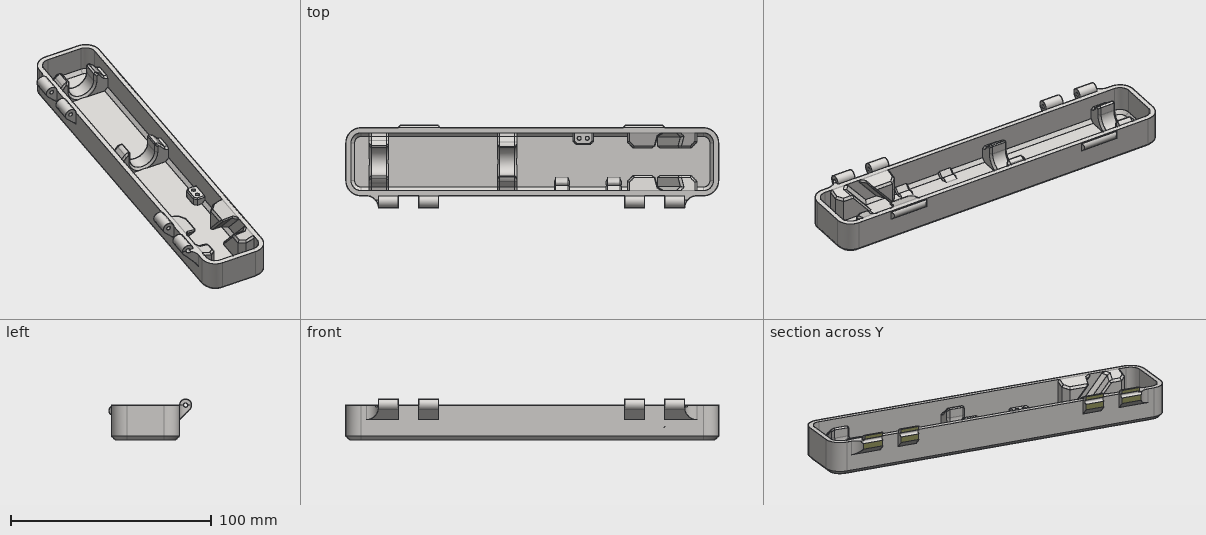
import cadquery as cq
import math

LENGTH = 185.8
WIDTH = 34.0
RIM_Z = 17.4
WALL = 2.6
FLOOR_Z = 2.4
CORNER_RADIUS = 7.7
BASE_CHAMFER = 2.0
FLOOR_CHAMFER = 1.8

SIDE_Y = WIDTH / 2
INNER_LENGTH = LENGTH - 2 * WALL
INNER_WIDTH = WIDTH - 2 * WALL
INNER_Y = INNER_WIDTH / 2
WALL_OVERLAP = WALL / 2
ROOT_Y = INNER_Y + WALL_OVERLAP
ROOT_Z = FLOOR_Z / 2

FITTINGS_SHIFT_X = -0.35

KNUCKLE_RADIUS = 3.0
KNUCKLE_LENGTH = 10.0
KNUCKLE_Y = -SIDE_Y - KNUCKLE_RADIUS
PIN_HOLE_DIAMETER = 2.0
HINGE_INNER_X = 46.3
KNUCKLE_PITCH = 2 * KNUCKLE_LENGTH
HINGE_OUTER_X = HINGE_INNER_X + KNUCKLE_PITCH + KNUCKLE_LENGTH
GUSSET_RADIUS = 2 * KNUCKLE_RADIUS

LATCH_X = 56.0
LATCH_Z = 14.6
LATCH_LENGTH = 21.0
LATCH_HEIGHT = 4.2
LATCH_PROTRUSION = 1.23

CRADLES = (
    (-76.4, 8.1, 10.6),
    (-12.5, 7.5, 9.8),
)
CRADLE_LENGTH = 9.8
CRADLE_RADIUS = 7.0
CRADLE_AXIS_Z = 10.3
CRADLE_TIP_INNER_Z = 14.7
CRADLE_TIP_OUTER_Z = 15.3
CRADLE_BACK_BULGE = 0.15
CRADLE_BACK_SLOPE = 1.1
CRADLE_BACK_END_Y = 12.5
CRADLE_BACK_END_Z = 11.4
CRADLE_ROOT_Z = 10.6
CRADLE_CHAMFER = 1.2

PAD_CENTERS_X = (14.8, 40.6)
PAD_LENGTH = 7.6
PAD_TOE_Y = -7.8
PAD_FLANK_Y = -9.0
PAD_FLANK_HEIGHT = 0.25
PAD_CREST_Y = -10.3
PAD_CREST_HEIGHT = 0.9
PAD_VALLEY_Y = -11.9
PAD_VALLEY_HEIGHT = 0.3
PAD_CHAMFER = 0.7

SOCKET_BLOCK_X = 25.4
SOCKET_BLOCK_LENGTH = 10.0
SOCKET_BLOCK_FACE_Y = 8.6
SOCKET_BLOCK_TOP_Z = 6.6
SOCKET_BLOCK_CORNER = 1.5
SOCKET_BLOCK_TOP_CHAMFER = 0.6
SOCKET_DIAMETER = 2.0
SOCKET_DEPTH = 3.0
SOCKET_SPACING = 4.0
SOCKET_Y = 11.7

SUPPORT_X = 64.7
SUPPORT_LENGTH = 34.7
SUPPORT_FACE_Y = 6.8
SUPPORT_FACE_Z = 15.0
SUPPORT_CORNER = 3.0
SUPPORT_CHAMFER = 1.0
SLOT_ANGLE = 50.0
SLOT_FLOOR_X = 56.7
SLOT_WIDTH = 8.8
SLOT_CORNER = 2.0


def mirrored_y(shape):
    return shape.union(shape.mirror("XZ"))


def mirrored_x(shape):
    return shape.union(shape.mirror("YZ"))


def make_tray():
    shell = cq.Workplane("XY").box(LENGTH, WIDTH, RIM_Z, centered=(True, True, False))
    shell = shell.edges("|Z").fillet(CORNER_RADIUS).faces("<Z").edges().chamfer(BASE_CHAMFER)
    cavity = (
        cq.Workplane("XY", origin=(0, 0, FLOOR_Z))
        .box(INNER_LENGTH, INNER_WIDTH, RIM_Z, centered=(True, True, False))
        .edges("|Z").fillet(CORNER_RADIUS - WALL)
        .faces("<Z").edges().chamfer(FLOOR_CHAMFER)
    )
    return shell.cut(cavity)


def make_knuckle(start_x, length=KNUCKLE_LENGTH):
    """Barrel carried by a bracket whose underside slopes at 45 degrees, tangent to the barrel."""
    tangent = KNUCKLE_RADIUS * math.sqrt(0.5)
    slope_y = KNUCKLE_Y - tangent
    slope_z = RIM_Z - tangent
    root_y = -SIDE_Y + WALL_OVERLAP
    return (
        cq.Workplane("YZ", origin=(start_x, 0, 0))
        .moveTo(root_y, RIM_Z)
        .lineTo(-SIDE_Y, RIM_Z)
        .threePointArc((KNUCKLE_Y, RIM_Z + KNUCKLE_RADIUS), (slope_y, slope_z))
        .lineTo(root_y, slope_z - (root_y - slope_y))
        .close()
        .extrude(length)
    )


def make_gusset():
    """Continues the outer knuckle's bracket, up to rim level, with a concave end."""
    below_rim = cq.Workplane("XY").box(LENGTH, 2 * WIDTH, RIM_Z, centered=(True, True, False))
    scoop = (
        cq.Workplane("XY")
        .center(HINGE_OUTER_X + GUSSET_RADIUS, -SIDE_Y - GUSSET_RADIUS)
        .circle(GUSSET_RADIUS)
        .extrude(RIM_Z)
    )
    return make_knuckle(HINGE_OUTER_X, GUSSET_RADIUS).intersect(below_rim).cut(scoop)


def make_hinge():
    """Two knuckles, with a concave gusset outside the outer one."""
    hinge = make_gusset()
    for index in range(2):
        hinge = hinge.union(make_knuckle(HINGE_INNER_X + index * KNUCKLE_PITCH))
    pin_hole = (
        cq.Workplane("YZ", origin=(HINGE_INNER_X, 0, 0))
        .center(KNUCKLE_Y, RIM_Z)
        .circle(PIN_HOLE_DIAMETER / 2)
        .extrude(HINGE_OUTER_X + GUSSET_RADIUS - HINGE_INNER_X)
    )
    return hinge, pin_hole


def make_latch():
    """Rounded ridge with ends sloping at 45 degrees."""
    half_height = LATCH_HEIGHT / 2
    half_length = LATCH_LENGTH / 2
    outer_y = SIDE_Y + LATCH_PROTRUSION
    root_y = SIDE_Y - WALL_OVERLAP
    ridge = (
        cq.Workplane("YZ", origin=(LATCH_X - half_length, 0, 0))
        .moveTo(root_y, LATCH_Z - half_height)
        .lineTo(SIDE_Y, LATCH_Z - half_height)
        .threePointArc((outer_y, LATCH_Z), (SIDE_Y, LATCH_Z + half_height))
        .lineTo(root_y, LATCH_Z + half_height)
        .close()
        .extrude(LATCH_LENGTH)
    )
    outline = (
        cq.Workplane("XY", origin=(LATCH_X, 0, 0))
        .polyline([
            (-half_length, root_y),
            (-half_length, SIDE_Y),
            (LATCH_PROTRUSION - half_length, outer_y),
            (half_length - LATCH_PROTRUSION, outer_y),
            (half_length, SIDE_Y),
            (half_length, root_y),
        ])
        .close()
        .extrude(RIM_Z)
    )
    return ridge.intersect(outline)


def chamfered_prism(draw_profile, center_x, length, chamfer, *shape):
    """Prism along X; draw_profile(plane, inset, *shape) gives its outline, inset at the two end faces."""
    half = length / 2
    core_half = half - chamfer
    core_plane = cq.Workplane("YZ", origin=(center_x - core_half, 0, 0))
    prism = draw_profile(core_plane, 0, *shape).extrude(2 * core_half)
    for side in (-1, 1):
        core_end = cq.Workplane("YZ", origin=(center_x + side * core_half, 0, 0))
        prism_end = cq.Workplane("YZ", origin=(center_x + side * half, 0, 0))
        wires = [draw_profile(core_end, 0, *shape).val(), draw_profile(prism_end, chamfer, *shape).val()]
        prism = prism.union(cq.Workplane(cq.Solid.makeLoft(wires, True)))
    return prism


def cradle_profile(plane, inset, tip_y, bend_y):
    """U-shaped seat between two upright arms whose backs slope down to the side walls."""
    radius = CRADLE_RADIUS + inset
    bend_z = CRADLE_BACK_END_Z + CRADLE_BACK_SLOPE * (CRADLE_BACK_END_Y - bend_y)
    back_mid_y = (tip_y + inset + bend_y) / 2
    back_mid_z = (CRADLE_TIP_OUTER_Z + bend_z) / 2 + CRADLE_BACK_BULGE
    inner = (radius, CRADLE_TIP_INNER_Z - inset)
    outer = (tip_y + inset, CRADLE_TIP_OUTER_Z - inset)
    back_mid = (back_mid_y, back_mid_z - inset)
    bend = (bend_y, bend_z - inset)
    back_end = (CRADLE_BACK_END_Y, CRADLE_BACK_END_Z - inset)
    root = (ROOT_Y, CRADLE_ROOT_Z - inset)

    def opposite(point):
        return (-point[0], point[1])

    return (
        plane.moveTo(-radius, CRADLE_AXIS_Z)
        .threePointArc((0, CRADLE_AXIS_Z - radius), (radius, CRADLE_AXIS_Z))
        .lineTo(*inner)
        .lineTo(*outer)
        .threePointArc(back_mid, bend)
        .lineTo(*back_end)
        .lineTo(*root)
        .lineTo(ROOT_Y, ROOT_Z)
        .lineTo(-ROOT_Y, ROOT_Z)
        .lineTo(*opposite(root))
        .lineTo(*opposite(back_end))
        .lineTo(*opposite(bend))
        .threePointArc(opposite(back_mid), opposite(outer))
        .lineTo(*opposite(inner))
        .close()
    )


def pad_profile(plane, inset):
    """Low rounded ridge, rising again at 45 degrees towards the wall."""
    toe_z = FLOOR_Z - inset
    valley_z = toe_z + PAD_VALLEY_HEIGHT
    flank = (PAD_FLANK_Y, toe_z + PAD_FLANK_HEIGHT)
    crest = (PAD_CREST_Y, toe_z + PAD_CREST_HEIGHT)
    return (
        plane.moveTo(PAD_TOE_Y, ROOT_Z)
        .lineTo(PAD_TOE_Y, toe_z)
        .spline(
            [flank, crest, (PAD_VALLEY_Y, valley_z)],
            tangents=[(-1, 0), (-1, -1)],
            includeCurrent=True,
        )
        .lineTo(-ROOT_Y, valley_z + ROOT_Y + PAD_VALLEY_Y)
        .lineTo(-ROOT_Y, ROOT_Z)
        .close()
    )


def make_socket_block():
    block = (
        cq.Workplane("XY", origin=(SOCKET_BLOCK_X, 0, ROOT_Z))
        .center(0, (SOCKET_BLOCK_FACE_Y + ROOT_Y) / 2)
        .rect(SOCKET_BLOCK_LENGTH, ROOT_Y - SOCKET_BLOCK_FACE_Y)
        .extrude(SOCKET_BLOCK_TOP_Z - ROOT_Z)
        .edges("|Z and <Y").chamfer(SOCKET_BLOCK_CORNER)
        .faces(">Z").edges("not >Y").chamfer(SOCKET_BLOCK_TOP_CHAMFER)
    )
    sockets = (
        cq.Workplane("XY", origin=(SOCKET_BLOCK_X, SOCKET_Y, SOCKET_BLOCK_TOP_Z - SOCKET_DEPTH))
        .rarray(SOCKET_SPACING, 1, 2, 1)
        .circle(SOCKET_DIAMETER / 2)
        .extrude(SOCKET_DEPTH)
    )
    return block.cut(sockets)


def make_support_slot():
    """Inclined channel, running up towards +X, with its four long corners cut at 45 degrees."""
    angle = math.radians(SLOT_ANGLE)
    direction = cq.Vector(math.cos(angle), 0, math.sin(angle))
    plane = cq.Plane(
        origin=(SLOT_FLOOR_X, 0, FLOOR_Z),
        xDir=(math.sin(angle), 0, -math.cos(angle)),
        normal=direction.toTuple(),
    )
    reach = 2 * RIM_Z
    return (
        cq.Workplane(plane)
        .rect(SLOT_WIDTH, INNER_WIDTH)
        .extrude(reach, both=True)
        .edges(cq.selectors.ParallelDirSelector(direction))
        .chamfer(SLOT_CORNER)
    )


def make_support():
    """Block at the +Y wall whose top slopes down from the rim towards the tray's middle."""
    slope = (RIM_Z - SUPPORT_FACE_Z) / (INNER_Y - SUPPORT_FACE_Y)
    block = (
        cq.Workplane("YZ", origin=(SUPPORT_X - SUPPORT_LENGTH / 2, 0, 0))
        .polyline([
            (SUPPORT_FACE_Y, FLOOR_Z),
            (SUPPORT_FACE_Y, SUPPORT_FACE_Z),
            (ROOT_Y, SUPPORT_FACE_Z + slope * (ROOT_Y - SUPPORT_FACE_Y)),
            (ROOT_Y, FLOOR_Z),
        ])
        .close()
        .extrude(SUPPORT_LENGTH)
        .edges("|Z and <Y").chamfer(SUPPORT_CORNER)
    )
    below_rim = cq.Workplane("XY").box(LENGTH, WIDTH, RIM_Z, centered=(True, True, False))
    block = block.cut(make_support_slot())
    top_normal = cq.Vector(0, -slope, 1)
    top_face = cq.selectors.ParallelDirSelector(top_normal)
    rims = block.faces(top_face).edges("not >Y").edges("not >Y")
    slot_edges = block.faces("<Y").edges("not (|X or |Z)")
    block = rims.add(slot_edges).chamfer(SUPPORT_CHAMFER)
    return block.intersect(below_rim)


hinge, pin_hole = make_hinge()
fittings_shift = (FITTINGS_SHIFT_X, 0, 0)
result = make_tray()
result = result.union(mirrored_x(hinge).translate(fittings_shift))
result = result.cut(mirrored_x(pin_hole).translate(fittings_shift))
result = result.union(mirrored_x(make_latch()).translate(fittings_shift))
for cradle_x, tip_y, bend_y in CRADLES:
    cradle = chamfered_prism(cradle_profile, cradle_x, CRADLE_LENGTH, CRADLE_CHAMFER, tip_y, bend_y)
    result = result.union(cradle)
for pad_x in PAD_CENTERS_X:
    result = result.union(chamfered_prism(pad_profile, pad_x, PAD_LENGTH, PAD_CHAMFER))
result = result.union(make_socket_block())
result = result.union(mirrored_y(make_support()))